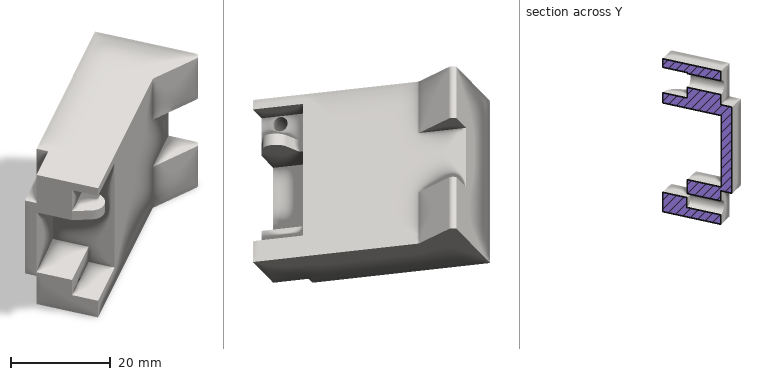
import cadquery as cq
import math

length = 45.0
height = 34.5
body_width = 15.5

ear_reach = 22.0
ear_height = 11.0
ear_length = 10.0
tip_top_x = 21.5
tip_y = length - 1.05
tip_end_x = 21.82
tip_end_y = length - 1.5

side_wall = 2.48
notch_size = 7.5
hole_diameter = 3.0
hole_y = 4.0
hole_inset = 3.75

pocket_depth = 10.6
channel_bottom = 8.5
channel_top = 24.5
step_x = 10.0
wide_bottom = 4.45
wide_top = 32.5

tab_top = 26.85
tab_radius = 2.65


def box(x_range, y_range, z_range):
    """Box between the given limits along each axis."""
    size = [end - start for start, end in (x_range, y_range, z_range)]
    corner = (x_range[0], y_range[0], z_range[0])
    return cq.Workplane("XY").box(*size, centered=False).translate(corner)


def make_ear(bottom):
    """Wedge with a rounded tip, rising from the body's +X face."""
    return (
        cq.Workplane("XY", origin=(0, 0, bottom))
        .moveTo(step_x, length)
        .lineTo(tip_top_x, length)
        .threePointArc((ear_reach, tip_y), (tip_end_x, tip_end_y))
        .lineTo(body_width, length - ear_length)
        .lineTo(step_x, length - ear_length)
        .close()
        .extrude(ear_height)
    )


def make_tab():
    """Tab with a round nose and straight flanks tangent to it, symmetric about the hole."""
    nose_x = body_width - tab_radius
    reach = nose_x - step_x
    flank_angle = math.atan2(hole_y, reach) - math.asin(tab_radius / math.hypot(reach, hole_y))
    tangent_x = nose_x + tab_radius * math.sin(flank_angle)
    tangent_offset = tab_radius * math.cos(flank_angle)
    return (
        cq.Workplane("XY", origin=(0, 0, channel_top))
        .moveTo(step_x, 0)
        .lineTo(tangent_x, hole_y - tangent_offset)
        .threePointArc((body_width, hole_y), (tangent_x, hole_y + tangent_offset))
        .lineTo(step_x, 2 * hole_y)
        .close()
        .extrude(tab_top - channel_top)
    )


result = box((0, body_width), (0, length), (0, height))
for ear_bottom in (0, height - ear_height):
    result = result.union(make_ear(ear_bottom))

result = result.cut(box((side_wall, body_width), (0, pocket_depth), (channel_bottom, channel_top)))
result = result.cut(box((step_x, body_width), (0, pocket_depth), (wide_bottom, wide_top)))
result = result.union(make_tab())

for notch_bottom in (0, height - notch_size):
    result = result.cut(
        box((0, side_wall), (0, notch_size), (notch_bottom, notch_bottom + notch_size))
    )

for hole_z in (hole_inset, height - hole_inset):
    hole = (
        cq.Workplane("YZ")
        .center(hole_y, hole_z)
        .circle(hole_diameter / 2)
        .extrude(step_x)
    )
    result = result.cut(hole)